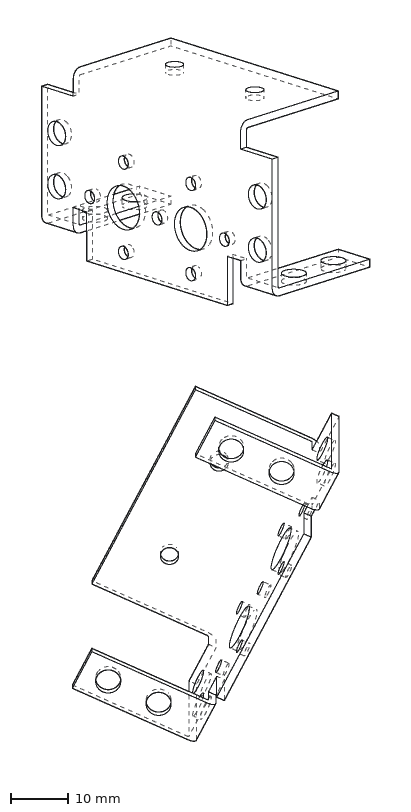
import cadquery as cq

sheet = 1.5
inner_radius = 0.3
outer_radius = inner_radius + sheet

width = 57.15
depth = 24.25
height = 34.75

top_flange_width = 41.5
tongue_width = 34.85
ear_width = (width - top_flange_width) / 2
ear_top = 29.7
ear_bottom = 4.0
notch_top = 9.1

motor_x = 8.35
motor_z = 12.0
shaft_diameter = 8.0
screw_diameter = 2.4
screw_offset = motor_x

mount_diameter = 4.4
ear_hole_x = 24.85
mount_pitch = 9.85
ear_hole_z = [motor_z, motor_z + mount_pitch]
flange_hole_x = 24.65
flange_hole_near_y = 9.3
flange_hole_y = [flange_hole_near_y, flange_hole_near_y + mount_pitch]

top_hole_diameter = 3.2
top_hole_x = 9.95
top_hole_y = 14.35


def box(x_size, y_size, z_low, z_high):
    """Block centred on X, starting at the front face Y = 0."""
    return (
        cq.Workplane("XY", origin=(0, 0, z_low))
        .box(x_size, y_size, z_high - z_low, centered=(True, False, False))
    )


def bent_strip(x_center, strip_width, bend_z, wall_end_z):
    """L-shaped strip whose flange has its outer face at bend_z."""
    inward = 1 if wall_end_z > bend_z else -1
    flange_inner_z = bend_z + inward * sheet
    profile = (
        cq.Workplane("YZ", origin=(x_center - strip_width / 2, 0, 0))
        .moveTo(0, wall_end_z)
        .lineTo(0, bend_z + inward * outer_radius)
        .radiusArc((outer_radius, bend_z), -inward * outer_radius)
        .lineTo(depth, bend_z)
        .lineTo(depth, flange_inner_z)
        .lineTo(outer_radius, flange_inner_z)
        .radiusArc((sheet, bend_z + inward * outer_radius), inward * inner_radius)
        .lineTo(sheet, wall_end_z)
        .close()
    )
    return profile.extrude(strip_width)


def front_holes(points, diameter):
    """Cutters through the front plate at (x, z) points."""
    return cq.Workplane("XZ").pushPoints(points).circle(diameter / 2).extrude(-sheet)


def flange_holes(points, diameter, z_low):
    """Cutters through a flange at (x, y) points."""
    return cq.Workplane("XY", origin=(0, 0, z_low)).pushPoints(points).circle(diameter / 2).extrude(sheet)


bracket = box(width, sheet, notch_top, ear_top)
bracket = bracket.union(box(tongue_width, sheet, 0, notch_top))
bracket = bracket.union(bent_strip(0, top_flange_width, height, ear_top))
for side in (-1, 1):
    ear_center = side * (width - ear_width) / 2
    bracket = bracket.union(bent_strip(ear_center, ear_width, ear_bottom, notch_top))

shaft_points = [(side * motor_x, motor_z) for side in (-1, 1)]
screw_points = [(x, motor_z) for x in (-motor_x - screw_offset, 0, motor_x + screw_offset)]
for x, z in shaft_points:
    screw_points += [(x, z - screw_offset), (x, z + screw_offset)]
bracket = bracket.cut(front_holes(shaft_points, shaft_diameter))
bracket = bracket.cut(front_holes(screw_points, screw_diameter))

ear_points = [(side * ear_hole_x, z) for side in (-1, 1) for z in ear_hole_z]
lower_points = [(side * flange_hole_x, y) for side in (-1, 1) for y in flange_hole_y]
top_points = [(side * top_hole_x, top_hole_y) for side in (-1, 1)]
bracket = bracket.cut(front_holes(ear_points, mount_diameter))
bracket = bracket.cut(flange_holes(lower_points, mount_diameter, ear_bottom))
bracket = bracket.cut(flange_holes(top_points, top_hole_diameter, height - sheet))

result = bracket.clean()